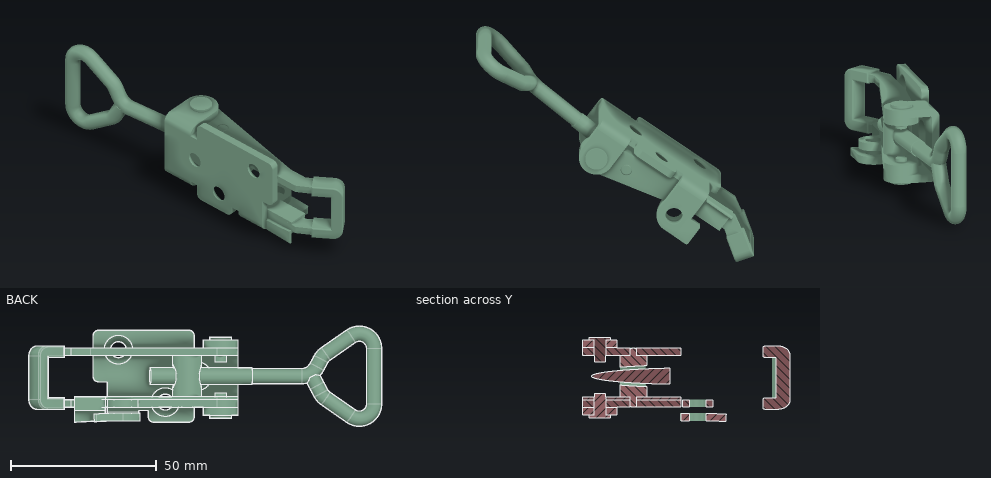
import cadquery as cq
import math


sheet = 2.7
catch_sheet = 1.0
inner_half = 7.05

pivot_y = 12.15
pivot_radius = 6.0

upper_arm_bottom = inner_half
upper_arm_top = upper_arm_bottom + sheet
upper_ear_top = upper_arm_top + sheet
lower_arm_top = -inner_half - catch_sheet
lower_arm_bottom = lower_arm_top - sheet
lower_ear_bottom = lower_arm_bottom - sheet

bend_radius = 3.2
plate_half = 15.85
plate_left = 9.0
plate_right = 43.85
plate_corner = 2.0
tab_right = 24.9
step_x = 39.0
step_z = -2.0
notch_z = -11.8
mount_hole_diameter = 5.4
countersink_depth = 2.2
countersink_half_angle = 45
mount_holes = [(8.0, 0.0), (35.1, 9.1), (19.0, -8.9)]

lock_x = 33.6
lock_y = 13.35
lock_hole_diameter = 6.0
ring_radius = 5.3
lug_top = 19.3
lug_radius = lug_top - lock_y
lug_left = 28.1
lug_outer = -15.4
wing_start = 38.0
wing_end = 43.5
wing_bottom = 11.1
wing_corner = 0.8
wing_tilt = 3.0

arm_low = 2.75
arm_high = 8.55
upper_slope = 12.3
lower_slope = 6.3
handle_angle = 35.0
handle_bend_x = 52.35
arm_corner_x = 51.9
handle_start = 3.7
handle_end = 14.5
handle_width = 6.6
handle_cover = 0.7
handle_corner = 3.5
handle_round = 0.5

catch_end = 50.2
bridge_start = 39.6
bridge_top = 9.75
tongue_low = 1.6
tongue_top = (-11.3, -10.4)
tongue_bottom = (-15.3, -plate_half)
tongue_curl = 0.9

rivet_head_radius = 3.8
rivet_head_height = 1.0
rivet_shank_radius = 2.0
rivet_tail = 2.2

trunnion_x = 11.5
trunnion_y = 10.5
trunnion_radius = 5.0
trunnion_slot_length = 7.7
pin_radius = 2.0
pin_chamfer = 0.3

bolt_tilt = 4.85
wire_radius = 2.65
thread_radius = 2.93
thread_start = -22.3
bolt_end = 12.7
neck_u = -39.4
neck_radius = 6.0
neck_angle = 62.0
leg_angle = 34.8
loop_corner_u = -59.35
loop_corner_v = 9.5
loop_corner_radius = 5.1
loop_bend_radius = 5.0


def slab(outline, z_low, z_high):
    """Extrude an XY outline, drawn on Z = 0, between two heights."""
    return outline.extrude(z_high - z_low).translate((0, 0, z_low))


def box(x_range, y_range, z_range):
    ranges = (x_range, y_range, z_range)
    size = [high - low for low, high in ranges]
    corner = tuple(low for low, high in ranges)
    return cq.Workplane("XY").box(*size, centered=False).translate(corner)


def cylinder(x, y, radius, z_low, z_high):
    return slab(cq.Workplane("XY").center(x, y).circle(radius), z_low, z_high)


diagonal = math.sqrt(0.5)

pivot_bore = cylinder(0, pivot_y, rivet_shank_radius, lower_ear_bottom, upper_ear_top)
pin_bore = cylinder(trunnion_x, trunnion_y, pin_radius, lower_arm_bottom, upper_arm_top)
lock_bore = cylinder(lock_x, lock_y, lock_hole_diameter / 2, 2 * lug_outer, 0)


def base_plate():
    left = -pivot_radius
    strip_top = upper_ear_top - bend_radius
    strip_bottom = lower_ear_bottom + bend_radius
    lug_fold = lug_outer + bend_radius
    points = [
        (left, strip_bottom), (plate_left, strip_bottom), (plate_left, -plate_half),
        (tab_right, -plate_half), (tab_right, notch_z), (lug_left, notch_z), (lug_left, lug_fold),
        (step_x, lug_fold), (step_x, step_z), (plate_right, step_z), (plate_right, plate_half),
        (plate_left, plate_half), (plate_left, strip_top), (left, strip_top),
    ]
    rounded = [
        (plate_left, -plate_half), (tab_right, -plate_half), (plate_right, step_z),
        (plate_right, plate_half), (plate_left, plate_half),
    ]
    plate = cq.Workplane("XZ").polyline(points).close().extrude(-sheet)
    for x, z in rounded:
        corner = cq.selectors.NearestToPointSelector((x, sheet / 2, z))
        plate = plate.edges("|Y").edges(corner).fillet(plate_corner)
    inner_face = cq.Workplane(cq.Plane(origin=(0, sheet, 0), xDir=(-1, 0, 0), normal=(0, 1, 0)))
    countersink_widening = countersink_depth * math.tan(math.radians(countersink_half_angle))
    countersink_radius = mount_hole_diameter / 2 + countersink_widening
    for x, z in mount_holes:
        hole = inner_face.center(-x, z).circle(mount_hole_diameter / 2).extrude(-sheet)
        countersink = (
            inner_face.center(-x, z)
            .circle(countersink_radius)
            .extrude(-countersink_depth, taper=countersink_half_angle)
        )
        plate = plate.cut(hole).cut(countersink)
    return plate


def fold(x_start, x_end, outer_z, side):
    """Quarter bend from the plate into a wall whose outer face lies at outer_z."""
    center_z = outer_z - side * bend_radius
    inner = bend_radius - sheet
    return (
        cq.Workplane("YZ", origin=(x_start, 0, 0))
        .moveTo(0, center_z)
        .threePointArc(
            (bend_radius * (1 - diagonal), center_z + side * bend_radius * diagonal),
            (bend_radius, outer_z),
        )
        .lineTo(bend_radius, outer_z - side * sheet)
        .threePointArc(
            (bend_radius - inner * diagonal, center_z + side * inner * diagonal),
            (sheet, center_z),
        )
        .close()
        .extrude(x_end - x_start)
    )


def ear(z_low, z_high):
    outline = (
        cq.Workplane("XY")
        .moveTo(-pivot_radius, bend_radius)
        .lineTo(pivot_radius, bend_radius)
        .lineTo(pivot_radius, pivot_y)
        .threePointArc((0, pivot_y + pivot_radius), (-pivot_radius, pivot_y))
        .close()
    )
    return slab(outline, z_low, z_high)


def lug():
    wall_top = lug_outer + sheet
    arc_middle = diagonal * lug_radius
    wall = (
        cq.Workplane("XY")
        .moveTo(lug_left, bend_radius)
        .lineTo(step_x, bend_radius)
        .lineTo(step_x, wing_bottom)
        .lineTo(wing_start, wing_bottom)
        .lineTo(wing_start, lug_top)
        .lineTo(lock_x, lug_top)
        .threePointArc((lock_x - arc_middle, lock_y + arc_middle), (lock_x - lug_radius, lock_y))
        .lineTo(lug_left, lock_y - lug_radius / 2)
        .close()
    )
    wing = (
        box((wing_start, wing_end), (wing_bottom, lug_top), (lug_outer, wall_top))
        .edges("|Z and >X").fillet(wing_corner)
        .rotate((wing_start, 0, wall_top), (wing_start, 1, wall_top), wing_tilt)
    )
    return slab(wall, lug_outer, wall_top).union(wing).cut(lock_bore)


base = (
    base_plate()
    .union(fold(-pivot_radius, pivot_radius, upper_ear_top, 1))
    .union(fold(-pivot_radius, pivot_radius, lower_ear_bottom, -1))
    .union(fold(lug_left, step_x, lug_outer, -1))
    .union(ear(upper_arm_top, upper_ear_top))
    .union(ear(lower_ear_bottom, lower_arm_bottom))
    .union(lug())
    .cut(pivot_bore)
)


handle_direction = (math.cos(math.radians(handle_angle)), math.sin(math.radians(handle_angle)))
arm_middle = (arm_low + arm_high) / 2
arm_half = (arm_high - arm_low) / 2


def tangent_point(degrees, side):
    """Point where an arm edge of the given slope leaves the pivot rounding."""
    angle = math.radians(degrees)
    return (
        side * pivot_radius * math.sin(angle),
        pivot_y + side * pivot_radius * math.cos(angle),
    )


def edge_end(start, degrees, y):
    """Point where a falling edge from start reaches height y."""
    return (start[0] + (start[1] - y) / math.tan(math.radians(degrees)), y)


upper_start = tangent_point(upper_slope, 1)
lower_start = tangent_point(lower_slope, -1)
upper_end = edge_end(upper_start, upper_slope, arm_high)
lower_end = edge_end(lower_start, lower_slope, arm_low)


def tapered_outline(tip):
    """Arm outline about the pivot, closed at the right by the given tip points."""
    outline = cq.Workplane("XY").moveTo(*lower_start).lineTo(*lower_end)
    for point in tip:
        outline = outline.lineTo(*point)
    return (
        outline.lineTo(*upper_end)
        .lineTo(*upper_start)
        .threePointArc((-pivot_radius, pivot_y), lower_start)
        .close()
    )


def arm(z_low, z_high):
    along_x, along_y = handle_direction
    miter = arm_half * math.tan(math.radians(handle_angle / 2))
    tip_x = handle_bend_x + handle_end * along_x - handle_corner
    tip_y = arm_middle + (tip_x - handle_bend_x) * along_y / along_x
    tip = [
        (arm_corner_x, arm_low),
        (tip_x + arm_half * along_y, tip_y - arm_half * along_x),
        (tip_x - arm_half * along_y, tip_y + arm_half * along_x),
        (handle_bend_x - miter, arm_high),
    ]
    return slab(tapered_outline(tip), z_low, z_high)


def lock_ring():
    outline = (
        cq.Workplane("XY")
        .moveTo(lock_x - ring_radius, arm_high)
        .lineTo(lock_x + ring_radius, arm_high)
        .lineTo(lock_x + ring_radius, lock_y)
        .threePointArc((lock_x, lock_y + ring_radius), (lock_x - ring_radius, lock_y))
        .close()
    )
    return slab(outline, lower_arm_bottom, lower_arm_top)


def handle():
    plane = cq.Plane(
        origin=(handle_bend_x, arm_middle, 0),
        xDir=(*handle_direction, 0),
        normal=(handle_direction[1], -handle_direction[0], 0),
    )
    top = upper_arm_top + handle_cover
    bottom = lower_arm_bottom - handle_cover
    leg = sheet + 2 * handle_cover
    half_width = handle_width / 2
    solid = (
        cq.Workplane(plane)
        .moveTo(handle_start, top)
        .lineTo(handle_end - handle_corner, top)
        .radiusArc((handle_end, top - handle_corner), handle_corner)
        .lineTo(handle_end, bottom + handle_corner)
        .radiusArc((handle_end - handle_corner, bottom), handle_corner)
        .lineTo(handle_start, bottom)
        .lineTo(handle_start, bottom + leg)
        .lineTo(handle_end - leg, bottom + leg)
        .lineTo(handle_end - leg, top - leg)
        .lineTo(handle_start, top - leg)
        .close()
        .extrude(half_width, both=True)
    )
    front_face = cq.selectors.DirectionMinMaxSelector(plane.zDir, True)
    back_face = cq.selectors.DirectionMinMaxSelector(plane.zDir, False)
    for face in (front_face, back_face):
        solid = solid.faces(face).edges().fillet(handle_round)
    return solid


lever = (
    arm(upper_arm_bottom, upper_arm_top)
    .union(arm(lower_arm_bottom, lower_arm_top))
    .union(lock_ring())
    .cut(lock_bore)
    .union(handle())
    .cut(pivot_bore)
    .cut(pin_bore)
)


def catch_clip():
    wall_outer = lower_arm_bottom - catch_sheet
    plate = slab(
        tapered_outline([(catch_end, arm_low), (catch_end, arm_high)]), lower_arm_top, -inner_half
    )
    span = (bridge_start, catch_end)
    bridge = box(span, (arm_high, bridge_top), (wall_outer, -inner_half))
    wall = box(span, (tongue_low, bridge_top), (wall_outer, lower_arm_bottom))
    lower_edge = cq.selectors.NearestToPointSelector((sum(span) / 2, tongue_low, tongue_bottom[1]))
    tongue = (
        cq.Workplane("XZ", origin=(0, tongue_low, 0))
        .polyline([
            (bridge_start, tongue_top[0]), (catch_end, tongue_top[1]),
            (catch_end, tongue_bottom[1]), (bridge_start, tongue_bottom[0]),
        ])
        .close()
        .extrude(-catch_sheet)
        .edges("<Y").edges(lower_edge)
        .fillet(tongue_curl)
    )
    return plate.union(bridge).union(wall).union(tongue)


catch = catch_clip().cut(lever).cut(pivot_bore).cut(pin_bore)


def rivet(ear_face, shank_end):
    side = 1 if ear_face > shank_end else -1
    head_face = ear_face + side * rivet_head_height
    shank = cylinder(0, pivot_y, rivet_shank_radius, *sorted((ear_face, shank_end)))
    return cylinder(0, pivot_y, rivet_head_radius, *sorted((ear_face, head_face))).union(shank)


rivet_length = upper_ear_top - upper_arm_bottom + rivet_tail
rivets = [
    rivet(upper_ear_top, upper_ear_top - rivet_length),
    rivet(lower_ear_bottom, lower_ear_bottom + rivet_length),
]


tilt = math.radians(bolt_tilt)
bolt_plane = cq.Plane(
    origin=(trunnion_x, trunnion_y, 0),
    xDir=(math.cos(tilt), math.sin(tilt), 0),
    normal=(math.sin(tilt), -math.cos(tilt), 0),
)
bolt_section = cq.Plane(
    origin=bolt_plane.toWorldCoords((neck_u, 0, 0)).toTuple(), xDir=(0, 0, 1), normal=bolt_plane.xDir
)


def shaft(radius, u_start, u_end):
    section = cq.Workplane(bolt_section).workplane(offset=u_start - neck_u)
    return section.circle(radius).extrude(u_end - u_start)


neck = math.radians(neck_angle)
rise = (neck_u - neck_radius * math.sin(neck), neck_radius * (1 - math.cos(neck)))


def loop():
    """Bent wire from the neck, around the loop, to the lower steep leg."""
    leg = math.radians(leg_angle)
    long_leg = (
        loop_corner_u + loop_corner_radius * math.sin(leg),
        loop_corner_v + loop_corner_radius * math.cos(leg),
    )
    gap_u = rise[0] - long_leg[0]
    gap_v = rise[1] - long_leg[1]
    steep = (gap_v + gap_u * math.tan(leg)) / (math.cos(neck) * math.tan(leg) - math.sin(neck))
    bend = (rise[0] - steep * math.cos(neck), rise[1] + steep * math.sin(neck))
    trim = loop_bend_radius * math.tan((neck - leg) / 2)
    bend_low = (bend[0] + trim * math.cos(neck), bend[1] - trim * math.sin(neck))
    bend_high = (bend[0] - trim * math.cos(leg), bend[1] + trim * math.sin(leg))
    bar_u = loop_corner_u - loop_corner_radius

    path = (
        cq.Workplane(bolt_plane)
        .moveTo(neck_u, 0)
        .radiusArc(rise, neck_radius)
        .lineTo(*bend_low)
        .tangentArcPoint(bend_high, relative=False)
        .lineTo(*long_leg)
        .tangentArcPoint((bar_u, loop_corner_v), relative=False)
        .lineTo(bar_u, -loop_corner_v)
        .tangentArcPoint((long_leg[0], -long_leg[1]), relative=False)
        .lineTo(bend_high[0], -bend_high[1])
        .tangentArcPoint((bend_low[0], -bend_low[1]), relative=False)
        .lineTo(rise[0], -rise[1])
    )
    return cq.Workplane(bolt_section).circle(wire_radius).sweep(path)


def closing_end():
    """Free end of the wire, running from the lower leg into the neck."""
    plane = cq.Plane(
        origin=bolt_plane.toWorldCoords((rise[0], -rise[1], 0)).toTuple(),
        xDir=bolt_plane.zDir,
        normal=(bolt_plane.xDir * math.cos(neck) + cq.Vector(0, 0, math.sin(neck))),
    )
    return cq.Workplane(plane).circle(wire_radius).extrude(rise[1] / math.sin(neck))


bolt = (
    loop()
    .union(closing_end())
    .union(shaft(wire_radius, neck_u, thread_start))
    .union(shaft(thread_radius, thread_start, bolt_end))
)


bolt_slot = (
    cq.Workplane(bolt_section)
    .workplane(offset=-neck_u - 2 * trunnion_radius)
    .slot2D(trunnion_slot_length, 2 * thread_radius)
    .extrude(4 * trunnion_radius)
)
trunnion = (
    cylinder(trunnion_x, trunnion_y, pin_radius, lower_arm_bottom, upper_arm_top)
    .faces("<Z or >Z").chamfer(pin_chamfer)
    .union(cylinder(trunnion_x, trunnion_y, trunnion_radius, -inner_half, inner_half))
    .cut(bolt_slot)
)

result = cq.Compound.makeCompound(
    [base.val(), lever.val(), catch.val(), trunnion.val(), bolt.val()] + [r.val() for r in rivets]
)